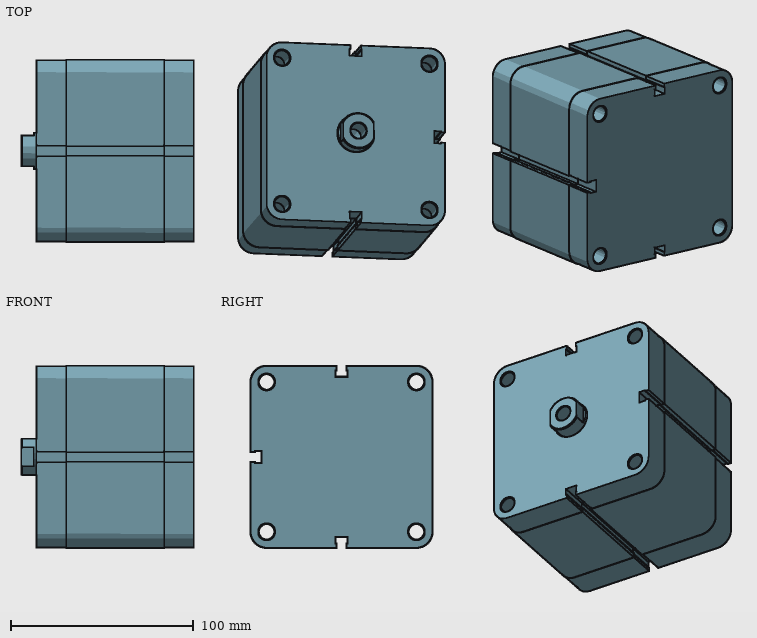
import cadquery as cq
import math

side = 100.0
barrel_corner_radius = 9.2
cap_corner_radius = 8.7
cap_inset = 0.3
barrel_length = 53.6
cap_length = 16.3

slot_neck_width = 5.2
slot_wide_width = 6.2
slot_neck_depth = 2.8
slot_depth = 6.0
slot_angles = (0, 90, 180)

bolt_hole_diameter = 8.4
bolt_hole_chamfer = 0.5
bolt_spacing = 82.0

rod_diameter = 20.0
rod_protrusion = 8.3
rod_tip_chamfer = 0.5
flat_length = 7.0
across_flats = 17.0
rod_bore_diameter = 20.0
rod_bore_chamfer = 0.4

rod_hole_diameter = 8.6
rod_hole_depth = 16.0
rod_hole_chamfer = 0.4
drill_point_angle = 118.0

front_cap_start = 0.0
barrel_start = front_cap_start + cap_length
rear_cap_start = barrel_start + barrel_length
rear_cap_end = rear_cap_start + cap_length
rod_tip = front_cap_start - rod_protrusion


def plane_at(x):
    """Sketch plane across the axis: local x is Y, local y is Z, normal is +X."""
    return cq.Workplane("YZ", origin=(x, 0, 0))


def slotted_block(start, length, corner_radius, inset):
    """Rounded square block with three T-slots, all faces moved into the material by inset."""
    half_side = side / 2 - inset
    block = (
        plane_at(start)
        .rect(2 * half_side, 2 * half_side)
        .extrude(length)
        .edges("|X")
        .fillet(corner_radius)
    )
    neck_half = slot_neck_width / 2 + inset
    wide_half = slot_wide_width / 2 + inset
    shoulder = side / 2 - slot_neck_depth + inset
    floor = side / 2 - slot_depth - inset
    slot = (
        plane_at(start)
        .moveTo(-neck_half, half_side)
        .lineTo(-neck_half, shoulder)
        .lineTo(-wide_half, shoulder)
        .lineTo(-wide_half, floor)
        .lineTo(wide_half, floor)
        .lineTo(wide_half, shoulder)
        .lineTo(neck_half, shoulder)
        .lineTo(neck_half, half_side)
        .close()
        .extrude(length)
    )
    for angle in slot_angles:
        block = block.cut(slot.rotate((0, 0, 0), (1, 0, 0), angle))
    bolt_holes = (
        plane_at(start)
        .rect(bolt_spacing, bolt_spacing, forConstruction=True)
        .vertices()
        .circle(bolt_hole_diameter / 2)
        .extrude(length)
    )
    return block.cut(bolt_holes)


def mouth_chamfer(x, diameter, size, direction):
    """Cone that chamfers a hole mouth at x; direction is the sign of X going into the hole."""
    radius = diameter / 2
    return cq.Solid.makeCone(radius + size, radius, size, cq.Vector(x, 0, 0), cq.Vector(direction, 0, 0))


def cap(start, outer_face, inward):
    """End cap whose bolt holes are chamfered at its outer face."""
    body = slotted_block(start, cap_length, cap_corner_radius, cap_inset)
    cone = mouth_chamfer(outer_face, bolt_hole_diameter, bolt_hole_chamfer, inward)
    for y_side in (-1, 1):
        for z_side in (-1, 1):
            offset = cq.Vector(0, y_side * bolt_spacing / 2, z_side * bolt_spacing / 2)
            body = body.cut(cq.Workplane(cone.translate(offset)))
    return body


def make_front_cap():
    """Front cap with the bore that carries the piston rod."""
    bore = plane_at(front_cap_start).circle(rod_bore_diameter / 2).extrude(cap_length)
    bore_chamfer = mouth_chamfer(front_cap_start, rod_bore_diameter, rod_bore_chamfer, 1)
    return cap(front_cap_start, front_cap_start, 1).cut(bore).cut(cq.Workplane(bore_chamfer))


def make_piston_rod():
    """Rod from its tip to the barrel face, with two wrench flats and a drilled end."""
    rod = plane_at(rod_tip).circle(rod_diameter / 2).extrude(barrel_start - rod_tip)
    rod = rod.faces("<X").chamfer(rod_tip_chamfer)
    flat_envelope = plane_at(rod_tip).rect(2 * rod_diameter, 2 * rod_diameter).extrude(flat_length)
    flat_core = plane_at(rod_tip).rect(across_flats, 2 * rod_diameter).extrude(flat_length)
    rod = rod.cut(flat_envelope.cut(flat_core))
    hole_radius = rod_hole_diameter / 2
    point_length = hole_radius / math.tan(math.radians(drill_point_angle / 2))
    hole = plane_at(rod_tip).circle(hole_radius).extrude(rod_hole_depth)
    point = cq.Solid.makeCone(
        hole_radius, 0, point_length, cq.Vector(rod_tip + rod_hole_depth, 0, 0), cq.Vector(1, 0, 0)
    )
    hole_chamfer = mouth_chamfer(rod_tip, rod_hole_diameter, rod_hole_chamfer, 1)
    return rod.cut(hole).cut(cq.Workplane(point)).cut(cq.Workplane(hole_chamfer))


front_cap = make_front_cap()
barrel = slotted_block(barrel_start, barrel_length, barrel_corner_radius, 0)
rear_cap = cap(rear_cap_start, rear_cap_end, -1)
piston_rod = make_piston_rod()

result = cq.Compound.makeCompound(
    [front_cap.val(), barrel.val(), rear_cap.val(), piston_rod.val()]
)